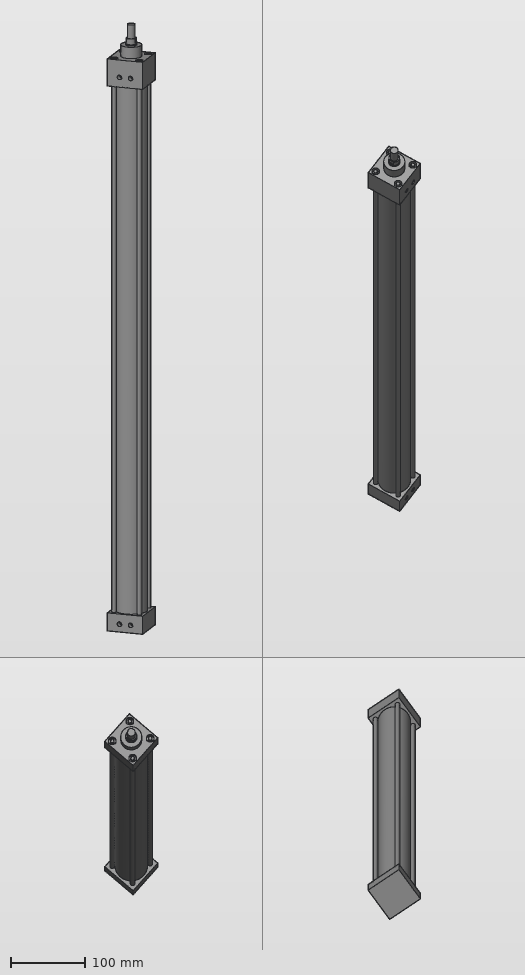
import cadquery as cq

INCH = 25.4

block_width = 2.0 * INCH
overall_length = 33.375 * INCH
cap_length = 1.0 * INCH
head_length = 1.5 * INCH

stud_diameter = 0.42 * INCH
stud_length = 0.75 * INCH
neck_diameter = 0.5625 * INCH
neck_length = 0.3125 * INCH
wrench_flat_width = 0.5 * INCH
wrench_flat_length = 0.22 * INCH
rod_diameter = 0.625 * INCH
rod_exposed_length = 0.0625 * INCH

boss_diameter = 1.125 * INCH
boss_height = 0.625 * INCH

barrel_diameter = 1.75 * INCH
tie_rod_diameter = 0.25 * INCH
tie_rod_spacing = 1.43 * INCH

counterbore_diameter = 0.406 * INCH
counterbore_depth = 0.25 * INCH
tie_rod_end_diameter = 0.2 * INCH

mount_hole_diameter = 0.25 * INCH
mount_hole_spacing = 0.625 * INCH
mount_hole_depth = 0.375 * INCH
drill_point_length = 0.3 * mount_hole_diameter
cap_hole_height = 0.4375 * INCH
head_hole_below_top = 0.96 * INCH

neck_top = overall_length - stud_length
neck_bottom = neck_top - neck_length
flats_bottom = neck_top - wrench_flat_length
boss_top = neck_bottom - rod_exposed_length
head_top = boss_top - boss_height
head_bottom = head_top - head_length
counterbore_floor = head_top - counterbore_depth
rod_bottom = head_bottom


def cylinder(diameter, bottom, top):
    return cq.Workplane("XY", origin=(0, 0, bottom)).circle(diameter / 2).extrude(top - bottom)


def block(x_width, y_width, bottom, top):
    return cq.Workplane("XY", origin=(0, 0, bottom)).rect(x_width, y_width).extrude(top - bottom)


def tie_rod_cylinders(diameter, bottom, top):
    """Four cylinders, one on each tie rod axis."""
    return (
        cq.Workplane("XY", origin=(0, 0, bottom))
        .rect(tie_rod_spacing, tie_rod_spacing, forConstruction=True)
        .vertices()
        .circle(diameter / 2)
        .extrude(top - bottom)
    )


def drilled_hole():
    """Blind hole along +Y from the origin, with a conical drill point."""
    radius = mount_hole_diameter / 2
    return (
        cq.Workplane("XY")
        .lineTo(radius, 0)
        .lineTo(radius, mount_hole_depth)
        .lineTo(0, mount_hole_depth + drill_point_length)
        .close()
        .revolve(360, (0, 0, 0), (0, 1, 0))
    )


def make_housing():
    """Cap, barrel, tie rods, head and gland boss, bored for the piston rod."""
    housing = block(block_width, block_width, 0, cap_length)
    housing = housing.union(cylinder(barrel_diameter, cap_length, head_bottom))
    housing = housing.union(tie_rod_cylinders(tie_rod_diameter, cap_length, head_bottom))
    housing = housing.union(block(block_width, block_width, head_bottom, head_top))
    housing = housing.union(cylinder(boss_diameter, head_top, boss_top))

    counterbores = tie_rod_cylinders(counterbore_diameter, counterbore_floor, head_top)
    tie_rod_ends = tie_rod_cylinders(tie_rod_end_diameter, counterbore_floor, head_top)
    housing = housing.cut(counterbores.cut(tie_rod_ends))

    for x in (-mount_hole_spacing / 2, mount_hole_spacing / 2):
        for z in (cap_hole_height, head_top - head_hole_below_top):
            housing = housing.cut(drilled_hole().translate((x, -block_width / 2, z)))

    return housing.cut(cylinder(rod_diameter, rod_bottom, boss_top))


def make_piston_rod():
    """Round rod with a flatted neck and a smaller stud at its tip."""
    rod = cylinder(rod_diameter, rod_bottom, neck_bottom)
    round_neck = cylinder(neck_diameter, neck_bottom, flats_bottom)
    between_flats = block(wrench_flat_width, neck_diameter, flats_bottom, neck_top)
    flatted_neck = cylinder(neck_diameter, flats_bottom, neck_top).intersect(between_flats)
    stud = cylinder(stud_diameter, neck_top, overall_length)
    return rod.union(round_neck).union(flatted_neck).union(stud)


housing = make_housing()
piston_rod = make_piston_rod()

result = cq.Compound.makeCompound([housing.val(), piston_rod.val()])